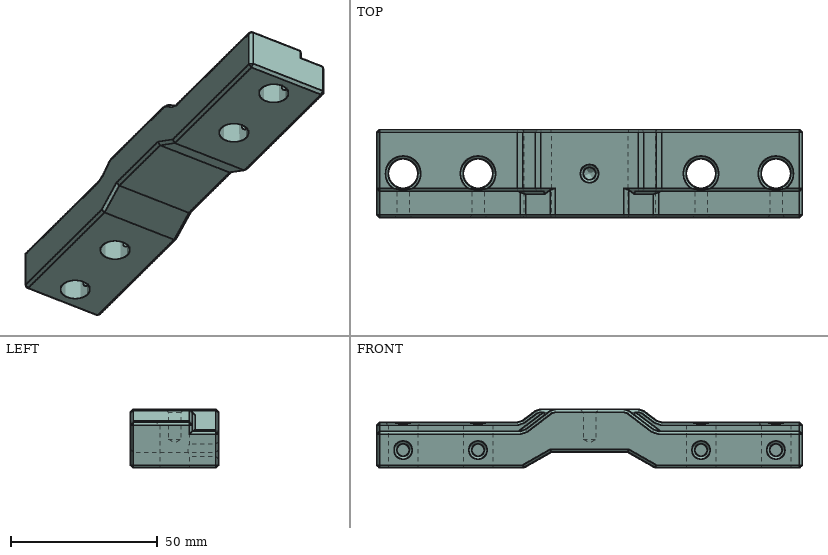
import cadquery as cq
import math

LENGTH = 145.0
DEPTH = 30.0
HEIGHT = 20.0

WING_HEIGHT = 15.5
TOP_HALF_LENGTH = 17.7
SLOPE_ANGLE = math.radians(37.2)

LEDGE_SINK = 3.0
LEDGE_WIDTH = 9.0

ARCH_HEIGHT = 5.4
ARCH_TOP_HALF_LENGTH = 13.0
ARCH_BASE_HALF_LENGTH = 22.5

BEVEL = 1.0

BOLT_DIAMETER = 10.0
TAP_DIAMETER = 4.2
HOLE_OUTER_X = 63.5
HOLE_SPACING = 25.5
FRONT_TAP_Z = 6.1
CENTER_TAP_DEPTH = 10.2
DRILL_POINT_ANGLE = math.radians(118)

END_X = LENGTH / 2
FRONT_Y = -DEPTH / 2
BACK_Y = DEPTH / 2
WALL_Y = FRONT_Y + LEDGE_WIDTH
LEDGE_HEIGHT = WING_HEIGHT - LEDGE_SINK
HOLE_INNER_X = HOLE_OUTER_X - HOLE_SPACING
HOLE_POSITIONS = (-HOLE_OUTER_X, -HOLE_INNER_X, HOLE_INNER_X, HOLE_OUTER_X)

TOLERANCE = 0.01


def slope_ends(sink):
    """X of the head and foot of a slope, sunk square to its surface."""
    head_x = TOP_HALF_LENGTH - sink / math.sin(SLOPE_ANGLE)
    foot_x = head_x + (HEIGHT - WING_HEIGHT + sink) / math.tan(SLOPE_ANGLE)
    return head_x, foot_x


def bar(sink, y_start, y_end):
    """Arched bar with sharp edges, its slopes and wings sunk square to their surfaces."""
    wing_z = WING_HEIGHT - sink
    slope_head_x, slope_foot_x = slope_ends(sink)
    right_side = [
        (slope_head_x, HEIGHT),
        (slope_foot_x, wing_z),
        (END_X, wing_z),
        (END_X, 0),
        (ARCH_BASE_HALF_LENGTH, 0),
        (ARCH_TOP_HALF_LENGTH, ARCH_HEIGHT),
    ]
    left_side = [(-x, z) for x, z in reversed(right_side)]
    profile = cq.Workplane("XZ", origin=(0, y_start, 0)).polyline(right_side + left_side).close()
    return profile.extrude(y_start - y_end)


def bevel_edges(body, is_chosen):
    edges = [edge for edge in body.edges().vals() if is_chosen(edge)]
    return body.newObject(edges).chamfer(BEVEL)


def is_arch_corner(edge):
    center = edge.Center()
    full_depth = edge.BoundingBox().ylen > DEPTH - TOLERANCE
    return full_depth and abs(center.x) < END_X - TOLERANCE and center.z < ARCH_HEIGHT + TOLERANCE


def is_wall_foot(edge):
    """Whether the wall rises from the flat or sloped part of the ledge along this edge."""
    center = edge.Center()
    _, slope_foot_x = slope_ends(LEDGE_SINK)
    slope_rise = max(0, slope_foot_x - abs(center.x)) * math.tan(SLOPE_ANGLE)
    on_wall = abs(center.y - WALL_Y) < TOLERANCE
    on_ledge = abs(center.z - LEDGE_HEIGHT - slope_rise) < TOLERANCE
    along_wall = edge.BoundingBox().ylen < TOLERANCE
    return on_wall and on_ledge and along_wall


def is_sloped_wall_foot(edge):
    return is_wall_foot(edge) and edge.BoundingBox().zlen > TOLERANCE


def is_outer_edge(edge):
    """Every edge except the arch corners and the foot of the wall."""
    return not (is_arch_corner(edge) or is_wall_foot(edge))


def hole_cutter(diameter, depth, tip_length=0.0):
    """Hole around -Z from the origin, with a beveled mouth and an optional drill point."""
    radius = diameter / 2
    half_section = [
        (0, BEVEL),
        (radius + 2 * BEVEL, BEVEL),
        (radius, -BEVEL),
        (radius, -depth),
        (0, -depth - tip_length),
    ]
    outline = cq.Workplane("XZ").polyline(half_section).close()
    return outline.revolve(360, (0, 0, 0), (0, 1, 0))


body = bar(0, WALL_Y, BACK_Y).union(bar(LEDGE_SINK, FRONT_Y, WALL_Y))
body = bevel_edges(body, is_outer_edge)
body = bevel_edges(body, is_sloped_wall_foot)

bolt_hole = hole_cutter(BOLT_DIAMETER, WING_HEIGHT + BEVEL)
front_tap = hole_cutter(TAP_DIAMETER, -FRONT_Y).rotate((0, 0, 0), (1, 0, 0), 90)
for x in HOLE_POSITIONS:
    body = body.cut(bolt_hole.translate((x, 0, WING_HEIGHT)))
    body = body.cut(front_tap.translate((x, FRONT_Y, FRONT_TAP_Z)))

tip_length = TAP_DIAMETER / 2 / math.tan(DRILL_POINT_ANGLE / 2)
center_tap = hole_cutter(TAP_DIAMETER, CENTER_TAP_DEPTH, tip_length)
body = body.cut(center_tap.translate((0, 0, HEIGHT)))

result = body.solids()